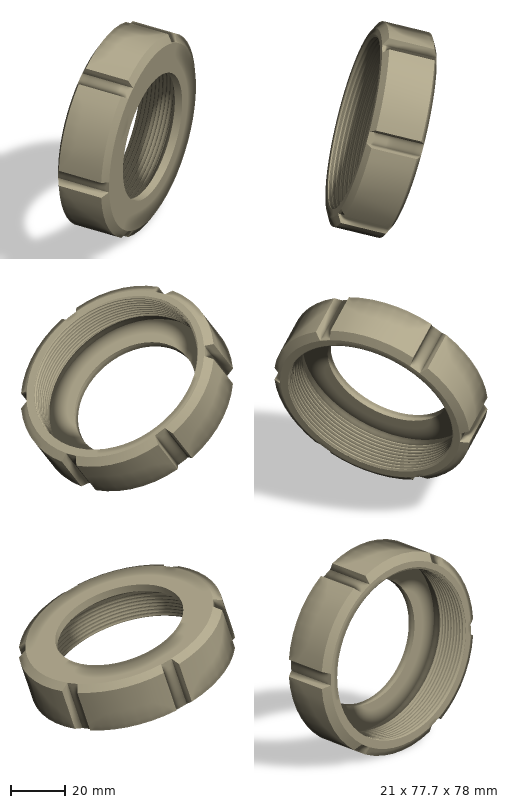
import cadquery as cq
import math

NUT_WIDTH = 21.0
OUTER_DIAMETER = 78.0
CHAMFER_LENGTH = 1.8
CHAMFER_ANGLE = 60.0
RIM_DIAMETER = OUTER_DIAMETER - 2 * CHAMFER_LENGTH * math.tan(math.radians(CHAMFER_ANGLE))

FLOOR_THICKNESS = 3.0
THROUGH_DIAMETER = 49.0
CAVITY_DIAMETER = 65.42
CAVITY_DEPTH = NUT_WIDTH - FLOOR_THICKNESS
RELIEF_DIAMETER = 69.0
RELIEF_WIDTH = 4.5
RELIEF_START = CAVITY_DEPTH - RELIEF_WIDTH

SLOT_COUNT = 6
SLOT_FLOOR_RADIUS = 35.9
SLOT_MOUTH_WIDTH = 6.72
SLOT_WALL_ANGLE = 20.0
SLOT_OVERCUT = 1.0

PITCH = 1.5
CREST_WIDTH = PITCH / 4
ROOT_WIDTH = PITCH / 8
GROOVE_WIDTH = PITCH - CREST_WIDTH
FLANK_ANGLE = 30.0
THREAD_DEPTH = (GROOVE_WIDTH - ROOT_WIDTH) / 2 / math.tan(math.radians(FLANK_ANGLE))
THREAD_END = RELIEF_START + PITCH
THREAD_LEAD_IN = PITCH
FACE_ANGLE = 45.0
GROOVE_OVERCUT = 0.3


def make_blank():
    """Revolve the ring's half section about the X axis."""
    outer_radius = OUTER_DIAMETER / 2
    rim_radius = RIM_DIAMETER / 2
    through_radius = THROUGH_DIAMETER / 2
    cavity_radius = CAVITY_DIAMETER / 2
    relief_radius = RELIEF_DIAMETER / 2
    section = [
        (0, cavity_radius),
        (0, rim_radius),
        (CHAMFER_LENGTH, outer_radius),
        (NUT_WIDTH - CHAMFER_LENGTH, outer_radius),
        (NUT_WIDTH, rim_radius),
        (NUT_WIDTH, through_radius),
        (CAVITY_DEPTH, through_radius),
        (CAVITY_DEPTH, relief_radius),
        (RELIEF_START, relief_radius),
        (RELIEF_START, cavity_radius),
    ]
    return cq.Workplane("XY").polyline(section).close().revolve(360, (0, 0, 0), (1, 0, 0))


def make_slot_cutter():
    """Trapezoidal prism along X for the slot on the +Y side."""
    wall_slope = math.tan(math.radians(SLOT_WALL_ANGLE))
    half_mouth = SLOT_MOUTH_WIDTH / 2
    mouth_radius = math.sqrt((OUTER_DIAMETER / 2) ** 2 - half_mouth ** 2)
    top_radius = OUTER_DIAMETER / 2 + SLOT_OVERCUT
    half_floor = half_mouth - (mouth_radius - SLOT_FLOOR_RADIUS) * wall_slope
    half_top = half_mouth + (top_radius - mouth_radius) * wall_slope
    outline = [
        (SLOT_FLOOR_RADIUS, -half_floor),
        (top_radius, -half_top),
        (top_radius, half_top),
        (SLOT_FLOOR_RADIUS, half_floor),
    ]
    return cq.Workplane("YZ").polyline(outline).close().extrude(NUT_WIDTH)


def cut_slots(body):
    for index in range(SLOT_COUNT):
        angle = index * 360 / SLOT_COUNT
        body = body.cut(make_slot_cutter().rotate((0, 0, 0), (1, 0, 0), angle))
    return body


def make_thread_cutter():
    """Sweep the groove profile along a helix about Z, then turn the helix onto X."""
    cavity_radius = CAVITY_DIAMETER / 2
    inner_radius = cavity_radius - GROOVE_OVERCUT
    root_radius = cavity_radius + THREAD_DEPTH
    half_inner = GROOVE_WIDTH / 2 + GROOVE_OVERCUT * math.tan(math.radians(FLANK_ANGLE))
    half_root = ROOT_WIDTH / 2
    helix_length = THREAD_LEAD_IN + THREAD_END
    helix = cq.Wire.makeHelix(PITCH, helix_length, cavity_radius)
    profile = [
        (inner_radius, -half_inner),
        (root_radius, -half_root),
        (root_radius, half_root),
        (inner_radius, half_inner),
    ]
    groove = cq.Workplane("XZ").polyline(profile).close().sweep(cq.Workplane(helix), isFrenet=True)
    groove = groove.rotate((0, 0, 0), (0, 1, 0), 90)
    groove = groove.rotate((0, 0, 0), (1, 0, 0), 180 + FACE_ANGLE)
    return groove.translate((-THREAD_LEAD_IN, 0, 0))


result = cut_slots(make_blank()).cut(make_thread_cutter())